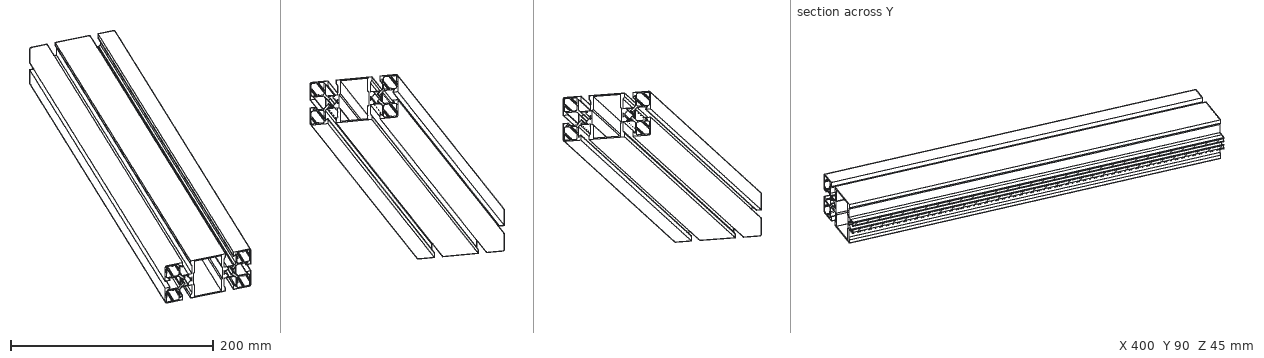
import cadquery as cq
import math

length = 400.0
width = 90.0
half_width = width / 2
height = half_width
half_height = height / 2
module_center = half_width / 2

wall = 1.0
outer_corner_radius = 2.0
tube_inner = 7.0
tube_middle = (tube_inner + half_height) / 2
inner_corner_radius = 1.0
core_side_radius = 2.0
rib_width = 1.5
rib_height = 1.0

slot_width = 8.5
slot_half = slot_width / 2
lip_depth = 5.0
lip_root = 3.0
lip_tip = 0.5

core_half = 7.0
core_wall = 1.0
screw_radius = 3.8
arm_half_width = 1.0
pad_thickness = 0.5
arm_pad_half_width = 1.5
web_pad_half_width = 2.6
joint_overlap = 1.5

web_outer = 17.0
web_inner = 14.0
recess_depth = 1.0
recess_inner = web_inner + recess_depth
recess_half = core_half
flange_depth = 3.8
flange_taper = 2.5


def prism(points):
    """Full-length prism from a closed outline of (Y, Z) points."""
    return cq.Workplane("YZ").polyline(points).close().extrude(length)


def block(y_min, y_max, z_min, z_max):
    """Full-length rectangular bar."""
    return prism([(y_min, z_min), (y_max, z_min), (y_max, z_max), (y_min, z_max)])


def in_module(points, swapped=False):
    """Move points from the module centre to part axes, optionally swapping the two axes."""
    return [(module_center + v, u) if swapped else (module_center + u, v) for u, v in points]


def corner_tube():
    """Hollow square tube with a rib inside each wall and a hooked lip on each slot side."""
    size = half_height - tube_inner
    center = (module_center + tube_middle, tube_middle)
    tube = block(module_center + tube_inner, half_width, tube_inner, half_height)
    for swapped in (False, True):
        lip = [
            (slot_half, half_height),
            (slot_half, half_height - lip_depth),
            (slot_half + lip_tip, half_height - lip_depth),
            (tube_inner, half_height - lip_root),
            (tube_inner, half_height),
        ]
        tube = tube.union(prism(in_module(lip, swapped)))
    tube = tube.edges("|X and >Y and >Z").fillet(outer_corner_radius)

    cavity_size = size - 2 * wall
    cavity = (
        cq.Workplane("YZ").center(*center).rect(cavity_size, cavity_size).extrude(length)
        .edges("|X and <Y and <Z").fillet(core_side_radius)
        .edges("|X and (>Y or >Z)").fillet(inner_corner_radius)
    )
    for angle in (0, 90, 180, 270):
        rib = (
            cq.Workplane("YZ").center(*center)
            .transformed(rotate=(0, 0, angle))
            .center(cavity_size / 2, 0).rect(2 * rib_height, rib_width).extrude(length)
        )
        cavity = cavity.cut(rib)
    return tube.cut(cavity)


def diagonal_bar(angle, start, end, half_thickness):
    """Bar pointing away from the screw channel axis, from start to end along its direction."""
    return (
        cq.Workplane("YZ").center(module_center, 0).transformed(rotate=(0, 0, angle))
        .center((start + end) / 2, 0).rect(end - start, 2 * half_thickness).extrude(length)
    )


def screw_channel():
    """Upper half of the box around the screw channel, with pads that grip the screw."""
    core_inner = core_half - core_wall
    left, right = module_center - core_half, module_center + core_half
    cavity = block(module_center - core_inner, module_center + core_inner, 0, core_inner)
    core = block(left, right, 0, core_half).cut(cavity)

    corner = core_half * math.sqrt(2)
    arm = diagonal_bar(45, screw_radius, corner + joint_overlap, arm_half_width)
    arm_pad = diagonal_bar(45, screw_radius, screw_radius + pad_thickness, arm_pad_half_width)

    web_pad = diagonal_bar(135, screw_radius, corner, web_pad_half_width)
    web_pad = web_pad.intersect(block(left, right, 0, core_half))
    return core.union(arm).union(arm_pad).union(web_pad)


def central_tube():
    """One quarter of the central tube: cover plate, flange and stepped web."""
    flange_edge = module_center - slot_half
    outline = [
        (0, half_height),
        (flange_edge, half_height),
        (flange_edge, half_height - flange_depth),
        (web_outer, half_height - flange_depth - flange_taper),
        (web_outer, 0),
        (recess_inner, 0),
        (recess_inner, recess_half),
        (web_inner, recess_half + recess_depth),
        (web_inner, half_height - wall),
        (0, half_height - wall),
    ]
    return prism(outline)


quarter = central_tube().union(screw_channel()).union(corner_tube())
half = quarter.union(quarter.mirror("XY"))
result = half.union(half.mirror("XZ"))